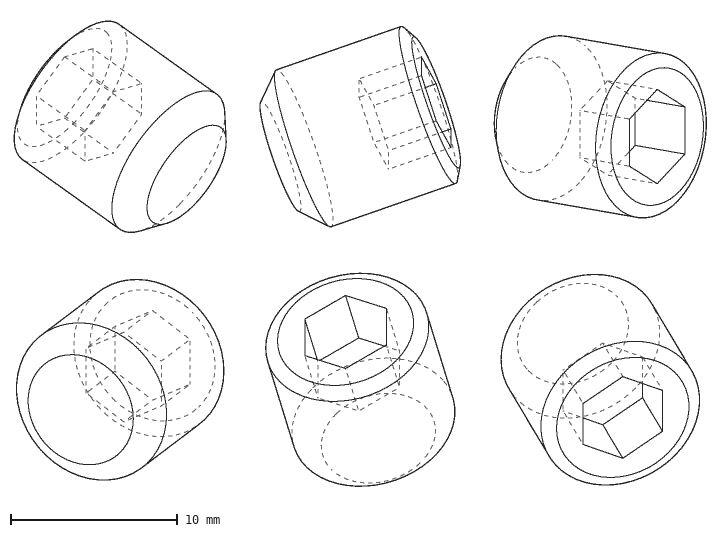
import cadquery as cq
import math

diameter = 10.0
length = 10.0

socket_face_diameter = 8.34
socket_bevel_length = 0.5
point_bevel = 1.5

across_flats = 5.0
socket_depth = 4.0


def make_body():
    """Revolve the bevelled half profile about the X axis."""
    radius = diameter / 2
    return (
        cq.Workplane("XY")
        .lineTo(0, socket_face_diameter / 2)
        .lineTo(socket_bevel_length, radius)
        .lineTo(length - point_bevel, radius)
        .lineTo(length, radius - point_bevel)
        .lineTo(length, 0)
        .close()
        .revolve(360, (0, 0, 0), (1, 0, 0))
    )


def make_socket():
    """Hexagonal prism with flats facing +Y and -Y and corners facing +Z and -Z."""
    across_corners = across_flats / math.cos(math.pi / 6)
    return (
        cq.Workplane("YZ")
        .transformed(rotate=(0, 0, 90))
        .polygon(6, across_corners)
        .extrude(socket_depth)
    )


result = make_body().cut(make_socket())